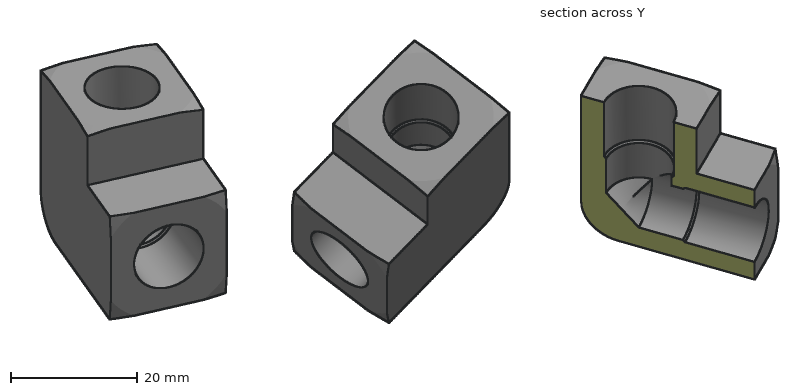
import cadquery as cq

leg_length = 29.72
leg_width = 19.82
half_width = leg_width / 2
outer_corner_radius = 6.3

end_face_radius = 11.53
bevel_reach = 2.97
bevel_drop = 0.6

mouth_radius = 5.95
bore_radius = 5.6
mouth_depth = 11.9
step = mouth_radius - bore_radius

end_distance = leg_length - half_width


def revolve_about_z(points):
    """Revolve a closed (radius, height) outline about the Z axis."""
    return cq.Workplane("XZ").polyline(points).close().revolve(360, (0, 0, 0), (0, 1, 0))


def mirror_to_x_leg(solid):
    """Mirror a solid of the upright leg across the plane X = Z onto the leg along +X."""
    return solid.mirror(cq.Vector(1, 0, -1))


def make_body():
    outline = [
        (-half_width, -half_width),
        (end_distance, -half_width),
        (end_distance, half_width),
        (half_width, half_width),
        (half_width, end_distance),
        (-half_width, end_distance),
    ]
    body = cq.Workplane("XZ").polyline(outline).close().extrude(half_width, both=True)
    return body.edges("|Y and <X and <Z").fillet(outer_corner_radius)


def make_corner_bevel():
    return revolve_about_z([
        (end_face_radius, end_distance),
        (end_face_radius + bevel_reach, end_distance),
        (end_face_radius + bevel_reach, end_distance - bevel_drop),
    ])


def make_bore():
    return revolve_about_z([
        (0, end_distance),
        (mouth_radius, end_distance),
        (mouth_radius, end_distance - mouth_depth),
        (bore_radius, end_distance - mouth_depth - step),
        (bore_radius, 0),
        (0, -bore_radius),
    ])


def make_mitre_half():
    """Prism on the upright leg's side of the 45 degree plane X = Z."""
    corners = [
        (-leg_length, -leg_length),
        (leg_length, leg_length),
        (-leg_length, leg_length),
    ]
    return cq.Workplane("XZ").polyline(corners).close().extrude(leg_width, both=True)


leg_bore = make_bore().intersect(make_mitre_half())
result = make_body()
for cutter in (make_corner_bevel(), leg_bore):
    result = result.cut(cutter).cut(mirror_to_x_leg(cutter))

result = result.translate((half_width, 0, half_width))